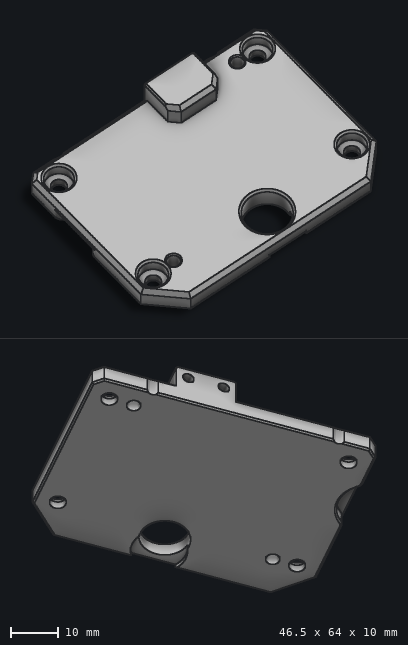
import cadquery as cq
import math

plate_width = 46.5
plate_length = 64.0
plate_height = 5.0
left_corner_cut = 2.0
right_corner_cut = 7.5
top_chamfer = 1.0
bottom_chamfer = 0.4
half_length = plate_length / 2

pocket_center_x = 16.6
pocket_offset = 3.9
pocket_radius = 7.0
pocket_lip_radius = 2.1
pocket_height = 3.0

screw_x = (5.0, 37.0)
screw_y = 27.0
screw_diameter = 3.5
counterbore_diameter = 6.5
counterbore_depth = 3.0
counterbore_chamfer = 0.5

dowel_y = 21.5
dowel_diameter = 3.0
dowel_chamfer = 0.3

window_x = 39.5
window_y = 2.0
window_diameter = 11.0
window_chamfer = 0.5
relief_offset = 3.5
relief_diameter = 12.15
relief_depth = 1.15

block_size_x = 10.0
block_size_y = 13.5
block_top = 10.0
block_base = plate_height / 2
block_center_y = 7.0
block_corner_cut = 2.0
block_end_chamfer = 1.0
block_side_chamfer = 0.4

drill_diameter = 2.5
drill_depth = 6.0
drill_spacing = 8.0
drill_z = 7.35
drill_tip_angle = 118.0

notch_y = (-23.0, 19.0)
notch_radius = 1.5
notch_offset = 0.8


def make_plate_blank():
    outline = [
        (0, -half_length + left_corner_cut),
        (left_corner_cut, -half_length),
        (plate_width - right_corner_cut, -half_length),
        (plate_width, -half_length + right_corner_cut),
        (plate_width, half_length - right_corner_cut),
        (plate_width - right_corner_cut, half_length),
        (left_corner_cut, half_length),
        (0, half_length - left_corner_cut),
    ]
    return cq.Workplane("XY").polyline(outline).close().extrude(plate_height)


def make_edge_pocket():
    """Arc-shaped pocket that runs into the front edge through two rounded lips."""
    arc_y = -half_length - pocket_offset
    lip_y = -half_length + pocket_lip_radius
    centers_apart = pocket_radius + pocket_lip_radius
    lip_angle = math.acos((lip_y - arc_y) / centers_apart)
    lip_x = centers_apart * math.sin(lip_angle)
    join_x = pocket_radius * math.sin(lip_angle)
    join_y = arc_y + pocket_radius * math.cos(lip_angle)
    lip_mid_x = lip_x - pocket_lip_radius * math.sin(lip_angle / 2)
    lip_mid_y = lip_y - pocket_lip_radius * math.cos(lip_angle / 2)
    return (
        cq.Workplane("XY")
        .center(pocket_center_x, 0)
        .moveTo(-lip_x, -half_length)
        .threePointArc((-lip_mid_x, lip_mid_y), (-join_x, join_y))
        .threePointArc((0, arc_y + pocket_radius), (join_x, join_y))
        .threePointArc((lip_mid_x, lip_mid_y), (lip_x, -half_length))
        .close()
        .extrude(pocket_height)
    )


def make_block():
    block = (
        cq.Workplane("XY", origin=(0, block_center_y, block_base))
        .box(block_size_x, block_size_y, block_top - block_base, centered=(False, True, False))
        .edges("|Z and >X")
        .chamfer(block_corner_cut)
    )
    block = block.faces(">Z").edges("not(|X)").edges("not(<X)").chamfer(block_end_chamfer)
    return block.faces(">Z").edges("|X").chamfer(block_side_chamfer)


def revolve_upright(profile, x, y):
    """Turn a (radius, height) profile about a vertical axis through (x, y)."""
    section = cq.Workplane("XZ").polyline(profile).close()
    return section.revolve(360, (0, 0, 0), (0, 1, 0)).translate((x, y, 0))


def make_screw_tool(x, y):
    """Through hole with a counterbore whose rim is chamfered."""
    hole_radius = screw_diameter / 2
    bore_radius = counterbore_diameter / 2
    bore_floor = plate_height - counterbore_depth
    profile = [
        (0, 0),
        (hole_radius, 0),
        (hole_radius, bore_floor),
        (bore_radius, bore_floor),
        (bore_radius, plate_height - counterbore_chamfer),
        (bore_radius + counterbore_chamfer, plate_height),
        (0, plate_height),
    ]
    return revolve_upright(profile, x, y)


def make_plain_tool(x, y, diameter, chamfer):
    """Straight through hole with a chamfered upper rim."""
    radius = diameter / 2
    profile = [
        (0, 0),
        (radius, 0),
        (radius, plate_height - chamfer),
        (radius + chamfer, plate_height),
        (0, plate_height),
    ]
    return revolve_upright(profile, x, y)


def make_drill_tool(y):
    """Blind drill with a conical tip, entering along +X."""
    radius = drill_diameter / 2
    tip_length = radius / math.tan(math.radians(drill_tip_angle / 2))
    profile = [(0, 0), (0, radius), (drill_depth, radius), (drill_depth + tip_length, 0)]
    return (
        cq.Workplane("XY").polyline(profile).close()
        .revolve(360, (0, 0, 0), (1, 0, 0)).translate((0, y, drill_z))
    )


plate = make_plate_blank().faces(">Z").edges().chamfer(top_chamfer)
plate = plate.cut(make_edge_pocket())
plate = plate.faces("<Z").edges().chamfer(bottom_chamfer)
body = plate.union(make_block())

for x in screw_x:
    for y in (-screw_y, screw_y):
        body = body.cut(make_screw_tool(x, y))

for x, y in ((screw_x[0], dowel_y), (screw_x[1], -dowel_y)):
    body = body.cut(make_plain_tool(x, y, dowel_diameter, dowel_chamfer))

body = body.cut(make_plain_tool(window_x, window_y, window_diameter, window_chamfer))
relief = (
    cq.Workplane("XY")
    .center(window_x + relief_offset, window_y)
    .circle(relief_diameter / 2)
    .extrude(relief_depth)
)
body = body.cut(relief)

for y in notch_y:
    notch = cq.Workplane("XY").center(-notch_offset, y).circle(notch_radius).extrude(plate_height)
    body = body.cut(notch)

for side in (-1, 1):
    body = body.cut(make_drill_tool(block_center_y + side * drill_spacing / 2))

result = body